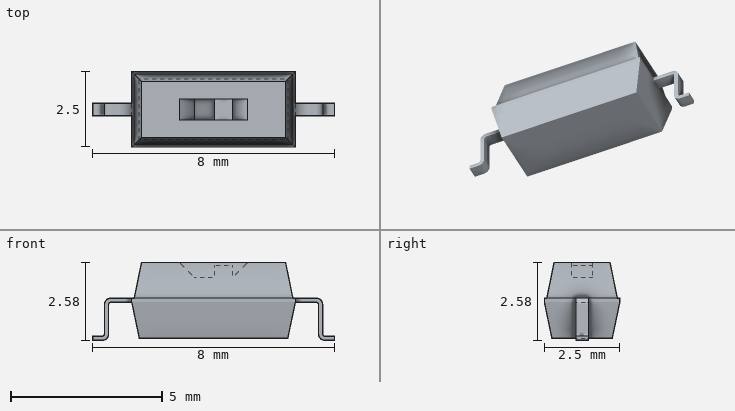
import cadquery as cq

overall_length = 8.0
overall_height = 2.58
body_bottom = 0.07
flange_length = 5.41
flange_width = 2.5
flange_top = 1.4

flange_ledge = 0.08
upper_taper = 0.24
lower_taper = 0.25

lead_thickness = 0.14
lead_width = 0.42
leg_outer_x = 3.61
bend_inner_radius = 0.07
bend_outer_radius = bend_inner_radius + lead_thickness
lead_embed = 0.16

slot_length = 2.26
slot_width = 0.7
slot_depth = 0.5
slider_start_x = 0.03
slider_recess = 0.1

flange_bottom = flange_top - lead_thickness


def frustum(start_z, length, width, end_z, inset):
    """Rectangular block whose four sides lean in by inset at end_z."""
    return (
        cq.Workplane("XY", origin=(0, 0, start_z))
        .rect(length, width)
        .workplane(offset=end_z - start_z)
        .rect(length - 2 * inset, width - 2 * inset)
        .loft(ruled=True)
    )


def make_body():
    flange = (
        cq.Workplane("XY", origin=(0, 0, flange_bottom))
        .rect(flange_length, flange_width)
        .extrude(lead_thickness)
    )
    upper = frustum(
        flange_top,
        flange_length - 2 * flange_ledge,
        flange_width - 2 * flange_ledge,
        overall_height,
        upper_taper,
    )
    lower = frustum(flange_bottom, flange_length, flange_width, body_bottom, lower_taper)
    return flange.union(upper).union(lower)


def make_lead():
    """Lead at the +X end: flat top, vertical leg and outward foot."""
    leg_inner_x = leg_outer_x - lead_thickness
    root_x = flange_length / 2 - lead_embed
    tip_x = overall_length / 2
    upper_bend_x = leg_outer_x - bend_outer_radius
    upper_bend_z = flange_top - bend_outer_radius
    foot_bend_x = leg_inner_x + bend_outer_radius
    return (
        cq.Workplane("XZ")
        .moveTo(root_x, flange_top)
        .lineTo(upper_bend_x, flange_top)
        .radiusArc((leg_outer_x, upper_bend_z), bend_outer_radius)
        .lineTo(leg_outer_x, bend_outer_radius)
        .radiusArc((foot_bend_x, lead_thickness), -bend_inner_radius)
        .lineTo(tip_x, lead_thickness)
        .lineTo(tip_x, 0)
        .lineTo(foot_bend_x, 0)
        .radiusArc((leg_inner_x, bend_outer_radius), bend_outer_radius)
        .lineTo(leg_inner_x, upper_bend_z)
        .radiusArc((upper_bend_x, flange_bottom), -bend_inner_radius)
        .lineTo(root_x, flange_bottom)
        .close()
        .extrude(lead_width / 2, both=True)
    )


def make_slot():
    half_top = slot_length / 2
    half_floor = half_top - slot_depth
    floor_z = overall_height - slot_depth
    return (
        cq.Workplane("XZ")
        .moveTo(-half_top, overall_height)
        .lineTo(half_top, overall_height)
        .lineTo(half_floor, floor_z)
        .lineTo(-half_floor, floor_z)
        .close()
        .extrude(slot_width / 2, both=True)
    )


def make_slider():
    """Slider reaching from near mid-slot to the foot of the +X sloped wall."""
    slider_end_x = slot_length / 2 - slot_depth
    return (
        cq.Workplane("XY", origin=(0, 0, overall_height - slot_depth))
        .center((slider_start_x + slider_end_x) / 2, 0)
        .rect(slider_end_x - slider_start_x, slot_width)
        .extrude(slot_depth - slider_recess)
    )


right_lead = make_lead()
left_lead = right_lead.mirror("YZ")

result = make_body().cut(make_slot()).union(make_slider())
result = result.union(right_lead).union(left_lead)